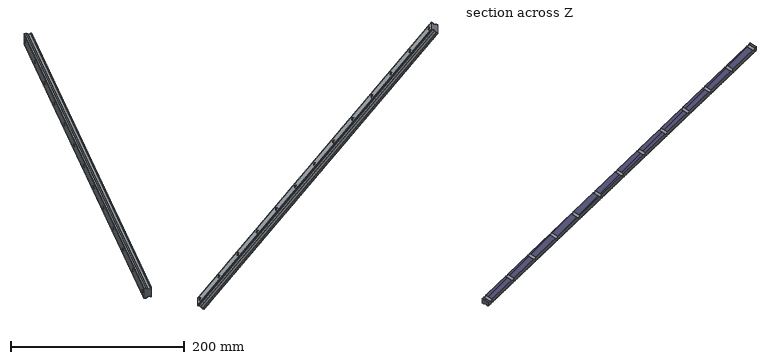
import cadquery as cq

length = 490.0
thickness = 9.5
width = 15.0

hole_count = 13
hole_pitch = 40.0
hole_diameter = 3.5

front_chamfer = 0.4
front_flange_depth = 2.5
front_slope_depth = 5.0
slope_end_width = 12.2
back_chamfer = 0.4
back_flange_depth = 1.6
back_width = 13.2
groove_floor_width = 10.6


def make_section():
    """Closed cross-section in the YZ plane at the -X end of the rail."""
    front = -thickness / 2
    back = thickness / 2
    half_width = width / 2
    half_back = back_width / 2
    groove_start = front + front_slope_depth
    groove_end = back - back_flange_depth
    groove_middle = (groove_start + groove_end) / 2
    half_floor = groove_floor_width / 2
    half_slope_end = slope_end_width / 2
    upper_half = (
        cq.Workplane("YZ", origin=(-length / 2, 0, 0))
        .moveTo(front, 0)
        .lineTo(front, half_width - front_chamfer)
        .lineTo(front + front_chamfer, half_width)
        .lineTo(front + front_flange_depth, half_width)
        .lineTo(groove_start, half_slope_end)
        .threePointArc((groove_middle, half_floor), (groove_end, half_back))
        .lineTo(back - back_chamfer, half_back)
        .lineTo(back, half_back - back_chamfer)
        .lineTo(back, 0)
    )
    return upper_half.mirrorX()


def make_holes():
    """Row of evenly spaced through holes along the rail's mid-line."""
    return (
        cq.Workplane("XZ")
        .rarray(hole_pitch, 1, hole_count, 1)
        .circle(hole_diameter / 2)
        .extrude(thickness, both=True)
    )


result = make_section().extrude(length).cut(make_holes())